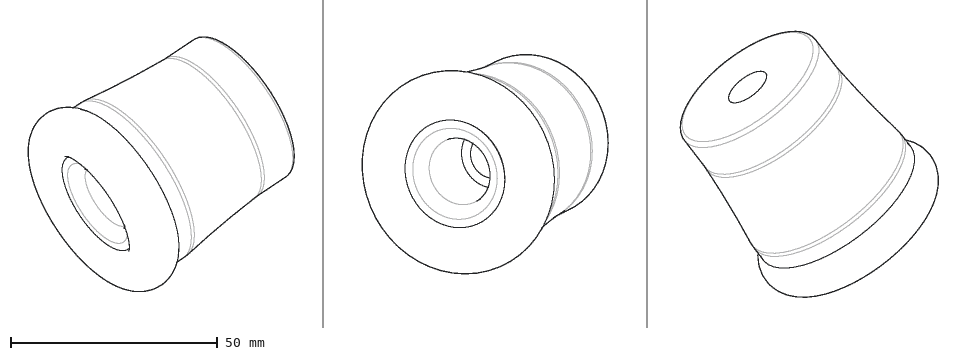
import cadquery as cq
import math

length = 50.0
front_y = -length / 2
back_y = length / 2

rim_outer_radius = 25.0
rim_section_radius = 6.0
rim_center_radius = rim_outer_radius - rim_section_radius
rim_center_y = front_y + rim_section_radius

collar_radius = 22.5
collar_end_y = -9.2
neck_radius = 20.0
neck_start_y = 14.0
waist_sag = 0.25
back_round = 1.0
band_width = 1.0
blend_rise = 0.05

face_radius = 13.3
mouth_round = 3.0
bore_mouth_radius = 8.25
bore_floor_radius = 7.9
bore_floor_y = 0.0
hole_radius = 5.5


def rim_offset(radius):
    """Axial distance from the rim's center plane to its surface at a given radius."""
    return math.sqrt(rim_section_radius**2 - (radius - rim_center_radius) ** 2)


face_y = rim_center_y - rim_offset(face_radius)
collar_start_y = rim_center_y + rim_offset(collar_radius)
waist_mid_radius = (collar_radius + neck_radius) / 2 - waist_sag
waist_mid_y = (collar_end_y + neck_start_y) / 2
mouth_arc_inset = mouth_round * (1 - math.sqrt(0.5))

profile = (
    cq.Workplane("XY")
    .moveTo(hole_radius, back_y)
    .lineTo(hole_radius, bore_floor_y)
    .lineTo(bore_floor_radius, bore_floor_y)
    .lineTo(bore_mouth_radius, face_y + mouth_round)
    .threePointArc(
        (bore_mouth_radius + mouth_arc_inset, face_y + mouth_arc_inset),
        (bore_mouth_radius + mouth_round, face_y),
    )
    .lineTo(face_radius, face_y)
    .threePointArc((rim_outer_radius, rim_center_y), (collar_radius, collar_start_y))
    .lineTo(collar_radius, collar_end_y - band_width)
    .lineTo(collar_radius - blend_rise, collar_end_y)
    .threePointArc((waist_mid_radius, waist_mid_y), (neck_radius + blend_rise, neck_start_y))
    .lineTo(neck_radius, neck_start_y + band_width)
    .lineTo(neck_radius, back_y - back_round)
    .radiusArc((neck_radius - back_round, back_y), -back_round)
    .close()
)

result = profile.revolve(360, (0, 0, 0), (0, 1, 0))